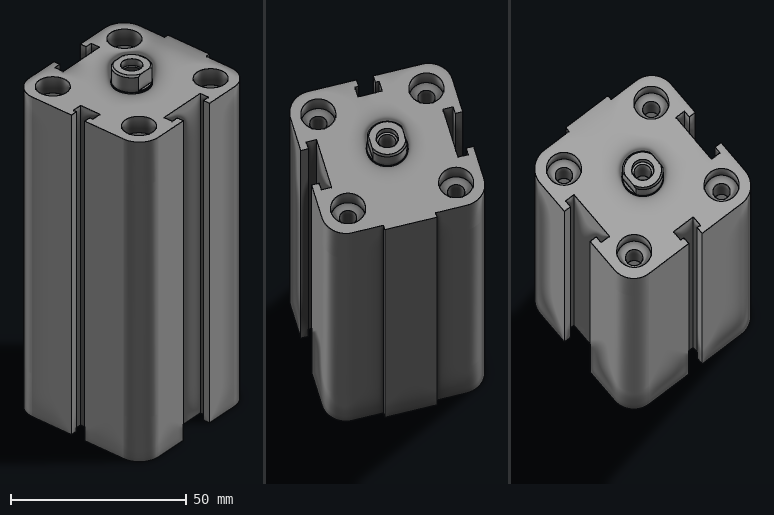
import cadquery as cq

width = 48.0
height = 109.5
barrel_length = 80.0
cap_height = (height - barrel_length) / 2
corner_radius = 7.1
half = width / 2

rail_width = 15.5
rail_height = 1.5

slot_lip = 2.25
side_slot_opening = 11.7
side_slot_width = 16.2
side_slot_depth = 5.3
front_slot_opening = 4.9
front_slot_width = 7.2
front_slot_depth = 5.5

hole_offset = 16.0
counterbore_diameter = 10.0
counterbore_depth = 5.6
hole_diameter = 4.92
hole_depth = cap_height

rod_diameter = 12.0
rod_extension = 6.0
rod_insertion = cap_height
collar_height = 0.4
neck_diameter = 11.7
neck_chamfer_height = 0.6
neck_chamfer_width = 0.5
flat_spacing = 10.0
flat_start = 0.75

thread_diameter = 4.92
thread_depth = 12.0
thread_mouth_diameter = 6.3
thread_mouth_depth = 2.3


def t_slot(opening, inner_width, depth, length):
    """T-slot opening in the -Y face, running up from z = 0."""
    neck = cq.Workplane("XY").box(opening, depth, length, centered=(True, False, False))
    undercut = (
        cq.Workplane("XY")
        .box(inner_width, depth - slot_lip, length, centered=(True, False, False))
        .translate((0, slot_lip, 0))
    )
    return neck.union(undercut).translate((0, -half, 0))


def profile(length):
    """Housing cross-section, with its rail and T-slots, extruded up from z = 0."""
    body = cq.Workplane("XY").rect(width, width).extrude(length).edges("|Z").fillet(corner_radius)
    rail = cq.Workplane("XY").box(rail_width, half + rail_height, length, centered=(True, False, False))
    body = body.union(rail)
    body = body.cut(t_slot(front_slot_opening, front_slot_width, front_slot_depth, length))
    side_slot = t_slot(side_slot_opening, side_slot_width, side_slot_depth, length)
    for angle in (-90, 90):
        body = body.cut(side_slot.rotate((0, 0, 0), (0, 0, 1), angle))
    return body


def make_housing():
    housing = profile(cap_height)
    barrel = profile(barrel_length).translate((0, 0, cap_height))
    top_cap = profile(cap_height).translate((0, 0, cap_height + barrel_length))
    housing = housing.union(barrel, clean=False).union(top_cap, clean=False)

    top = cq.Workplane("XY", origin=(0, 0, height))
    corners = top.rect(2 * hole_offset, 2 * hole_offset, forConstruction=True).vertices()
    counterbores = corners.circle(counterbore_diameter / 2).extrude(-counterbore_depth)
    holes = corners.circle(hole_diameter / 2).extrude(-hole_depth)
    rod_bore = top.circle(rod_diameter / 2).extrude(-rod_insertion)
    for cutter in (counterbores, holes, rod_bore):
        housing = housing.cut(cutter, clean=False)
    return housing


def make_rod():
    base = height - rod_insertion
    neck_base = height + collar_height
    rod_top = height + rod_extension

    collar = cq.Workplane("XY", origin=(0, 0, base)).circle(rod_diameter / 2).extrude(neck_base - base)
    neck = (
        cq.Workplane("XY", origin=(0, 0, neck_base))
        .circle(neck_diameter / 2)
        .extrude(rod_top - neck_base)
        .faces(">Z")
        .edges()
        .chamfer(neck_chamfer_height, neck_chamfer_width)
    )
    rod = collar.union(neck)

    flat_base = cq.Workplane("XY", origin=(0, 0, height + flat_start))
    around = flat_base.circle(rod_diameter).extrude(rod_extension)
    between_flats = flat_base.rect(flat_spacing, 2 * rod_diameter).extrude(rod_extension)
    rod = rod.cut(around.cut(between_flats))

    top = cq.Workplane("XY", origin=(0, 0, rod_top))
    mouth = top.circle(thread_mouth_diameter / 2).extrude(-thread_mouth_depth)
    thread = top.circle(thread_diameter / 2).extrude(-thread_depth)
    return rod.cut(mouth).cut(thread)


housing = make_housing()
rod = make_rod()
result = cq.Compound.makeCompound([housing.val(), rod.val()])